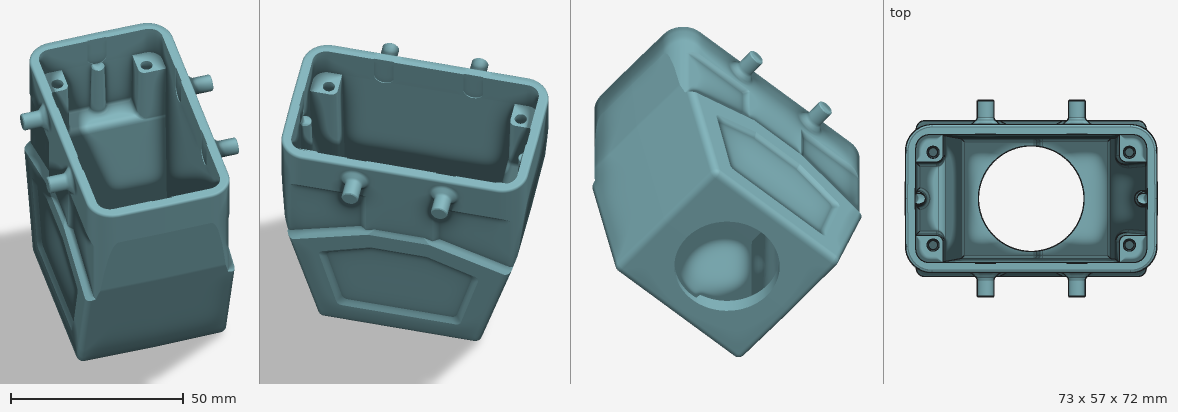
import cadquery as cq
import math

height = 72.0
length = 73.0
collar_width = 42.85
body_width = 45.1
collar_radius = 7.6
rim_round = 0.7
mould_draft = 0.5

half_length = length / 2
end_break_z = 60.7
knee_half, knee_z = 34.6, 39.9
base_half = 23.95
knee_round = 5.1
body_round = 2.05

shelf_flat_half, shelf_top_z = 9.4, 44.3
web_half = 9.85
shelf_angle = 19.8
shelf_slope = math.tan(math.radians(shelf_angle))
shelf_bevel = 1.5

recess_depth = 1.1
recess_bevel = 1.75
recess_top_z = 59.2
recess_y = collar_width / 2 - recess_depth
recess_corner_round = 1.1
recess_edge_round = 2.2

panel_depth = 1.1
panel_bevel = 1.8
panel_round = 3.65
panel_top_half, panel_top_z = 8.4, 37.1
panel_side_half, panel_side_z = 23.9, 31.0
panel_base_half, panel_base_z = 18.1, 7.8

peg_x, peg_z = 13.2, 65.8
peg_span = 57.0
peg_cone_top_radius, peg_cone_base_radius = 2.8, 3.8
peg_cone_angle = 45.0
peg_root_round = 1.1
peg_chamfer = 0.3
peg_embed = 0.7

cavity_length, cavity_width, cavity_radius = 66.9, 37.1, 4.0
cavity_draft = 1.2
draft_start_z = 62.3
low_floor_z, high_floor_z = 2.55, 5.5
floor_step_x, floor_step_run = 2.05, 1.45
floor_left_x, floor_right_x = -20.15, 22.8
ledge_z = 44.5
ledge_edge_x = -25.0
ledge_edge_round = 2.1
ledge_round = 0.9
floor_round = 0.9
cable_hole_radius = 15.25

post_inner_x, post_inner_y = 25.55, 10.65
post_corner_round = 1.8
post_draft = 1.4
screw_x, screw_y = 28.4, 13.4
screw_mouth_radius, screw_end_radius, screw_depth = 1.75, 1.3, 18.25

rib_x = 32.55
rib_top_radius, rib_draft = 1.9, 1.5
rib_tip_chamfer = 0.5

relief_half_width, relief_depth, relief_bottom_z = 2.9, 0.2, 61.7

margin = 7.3


def mirrored(points):
    """Close a half outline by its mirror image about X = 0."""
    return points + [(-x, z) for x, z in reversed(points)]


def both_sides(shape):
    """The shape together with its mirror image about Y = 0."""
    return shape.union(shape.mirror("XZ"))


def facing_plane(y):
    """Plane parallel to XZ at -y whose extrusions run toward -Y."""
    return cq.Workplane("XZ", origin=(0, -y, 0))


def drafted_half(depth):
    """End outline extruded from Y = 0 toward -Y with mould draft and rounded knees."""
    outline = mirrored([
        (half_length, height + margin),
        (half_length, end_break_z),
        (knee_half, knee_z),
        (base_half, 0),
    ])
    half = facing_plane(0).polyline(outline).close().extrude(depth, taper=mould_draft)
    for side_x in (-1, 1):
        knee_edge = cq.selectors.NearestToPointSelector((side_x * knee_half, -depth / 2, knee_z))
        half = half.edges(knee_edge).fillet(knee_round)
    return half


def shelf_z(x):
    """Level of the sloping shelf edge at distance x from the middle."""
    return shelf_top_z - shelf_slope * (x - shelf_flat_half)


def bevelled_prism(outline, bevel_start_y):
    """Outline extruded both ways, its edges bevelled from the given Y out to the body faces."""
    core = facing_plane(0).polyline(outline).close().extrude(bevel_start_y, both=True)
    depth = body_width / 2 - bevel_start_y
    bevel_angle = math.degrees(math.atan(shelf_bevel / depth))
    cap = facing_plane(bevel_start_y).polyline(outline).close().extrude(depth, taper=bevel_angle)
    return core.union(both_sides(cap))


def make_shelf():
    """Space below the stepped edge: two slopes that start at the recess floors, one level below the web."""
    reach = half_length + margin
    roof_outline = [
        (-reach, -margin),
        (-reach, shelf_z(reach)),
        (0, shelf_z(0)),
        (reach, shelf_z(reach)),
        (reach, -margin),
    ]
    level_outline = mirrored([
        (reach, shelf_top_z),
        (reach, -margin),
    ])
    slopes = bevelled_prism(roof_outline, recess_y)
    level = bevelled_prism(level_outline, collar_width / 2)
    return slopes.intersect(level)


def make_lower_body():
    half = drafted_half(body_width / 2)
    face_edges = half.faces("<Y").edges("not(>Z)")
    base_ends = half.faces("<Z").edges("not(|X)")
    half = half.newObject(face_edges.vals() + base_ends.vals()).fillet(body_round)
    block = both_sides(half)
    return block.intersect(make_shelf())


def make_recesses():
    """Bevelled pockets for the four collar corners."""
    bottom_z = knee_z - 2 * margin
    reach = half_length + margin
    bevel_angle = math.degrees(math.atan(recess_bevel / recess_depth))
    top_corner = cq.selectors.NearestToPointSelector(
        (web_half + recess_bevel / 2, -recess_y - recess_depth / 2, recess_top_z - recess_bevel / 2))
    pocket = (
        cq.Workplane("XZ", origin=(0, -collar_width / 2, 0))
        .center((web_half + reach) / 2, (bottom_z + recess_top_z) / 2)
        .rect(reach - web_half, recess_top_z - bottom_z)
        .extrude(-recess_depth, taper=bevel_angle)
        .edges(top_corner).fillet(recess_corner_round)
    )
    pair = pocket.union(pocket.mirror("YZ"))
    return both_sides(pair)


def make_collar():
    bottom_z = shelf_z(half_length) - margin / 2
    corner_x = half_length - collar_width / 2 * math.tan(math.radians(mould_draft))
    plan = [
        (half_length, 0),
        (corner_x, collar_width / 2),
        (-corner_x, collar_width / 2),
        (-half_length, 0),
        (-corner_x, -collar_width / 2),
        (corner_x, -collar_width / 2),
    ]
    collar = (
        cq.Workplane("XY", origin=(0, 0, bottom_z))
        .polyline(plan).close()
        .extrude(height - bottom_z)
        .edges("|Z").edges("<Y or >Y").fillet(collar_radius)
        .faces(">Z").edges().fillet(rim_round)
    )
    collar = collar.cut(make_recesses())
    corner_centre_x = half_length - collar_radius
    corner_centre_y = collar_width / 2 - collar_radius
    recess_end_x = corner_centre_x + math.sqrt(collar_radius**2 - (recess_y - corner_centre_y)**2)
    for side_x in (-1, 1):
        for side_y in (-1, 1):
            edge_point = (side_x * recess_end_x, side_y * recess_y, knee_z)
            end_edge = cq.selectors.NearestToPointSelector(edge_point)
            collar = collar.edges("|Z").edges(end_edge).fillet(recess_edge_round)
    return collar.intersect(both_sides(drafted_half(body_width)))


def make_panels():
    outline = mirrored([
        (panel_top_half, panel_top_z),
        (panel_side_half, panel_side_z),
        (panel_base_half, panel_base_z),
    ])
    bevel_angle = math.degrees(math.atan(panel_bevel / panel_depth))
    panel = facing_plane(body_width / 2).polyline(outline).close()
    panel = panel.extrude(-panel_depth, taper=bevel_angle)
    corners = panel.edges("not(#Y)").edges(cq.selectors.BoxSelector(
        (-length, -length, 0), (length, length, panel_side_z)))
    return both_sides(corners.fillet(panel_round))


def make_pegs():
    face = collar_width / 2
    root = face - peg_embed
    tip = peg_span / 2

    def root_arc_offset(angle):
        """Radial and axial offset along a root round, from its level end."""
        turn = math.radians(angle)
        return peg_root_round * math.sin(turn), peg_root_round * (1 - math.cos(turn))

    half_turn_x, half_turn_y = root_arc_offset(peg_cone_angle / 2)
    full_turn_x, full_turn_y = root_arc_offset(peg_cone_angle)
    foot_radius = peg_cone_base_radius + full_turn_x
    cone_base_y = -face - full_turn_y
    cone_length = (peg_cone_base_radius - peg_cone_top_radius) / math.tan(math.radians(peg_cone_angle))
    cone_top_y = cone_base_y - cone_length
    shank_y = cone_top_y - full_turn_x
    shank_radius = peg_cone_top_radius - full_turn_y
    profile = (
        cq.Workplane("XY")
        .moveTo(0, -root)
        .lineTo(foot_radius, -root)
        .lineTo(foot_radius, -face)
        .threePointArc(
            (foot_radius - half_turn_x, -face - half_turn_y), (peg_cone_base_radius, cone_base_y))
        .lineTo(peg_cone_top_radius, cone_top_y)
        .threePointArc((shank_radius + half_turn_y, shank_y + half_turn_x), (shank_radius, shank_y))
        .lineTo(shank_radius, -tip + peg_chamfer)
        .lineTo(shank_radius - peg_chamfer, -tip)
        .lineTo(0, -tip)
        .close()
    )
    peg = profile.revolve(360, (0, 0, 0), (0, 1, 0)).translate((0, 0, peg_z))
    pair = peg.translate((peg_x, 0, 0)).union(peg.translate((-peg_x, 0, 0)))
    return both_sides(pair)


def make_posts():
    """Corner posts, widening downward; their outer sides lie buried in the walls."""
    size_x = half_length - post_inner_x
    size_y = collar_width / 2 - post_inner_y
    post = (
        cq.Workplane("XY", origin=(post_inner_x + size_x / 2, post_inner_y + size_y / 2, draft_start_z))
        .sketch().rect(size_x, size_y).vertices().fillet(post_corner_round).finalize()
        .extrude(-draft_start_z, taper=-post_draft)
    )
    pair = post.union(post.mirror("YZ"))
    return both_sides(pair)


def make_ribs():
    foot_radius = rib_top_radius + draft_start_z * math.tan(math.radians(rib_draft))
    profile = [
        (0, 0),
        (foot_radius, 0),
        (rib_top_radius, draft_start_z - rib_tip_chamfer),
        (rib_top_radius - rib_tip_chamfer, draft_start_z),
        (0, draft_start_z),
    ]
    rib = cq.Workplane("XZ").polyline(profile).close().revolve(360, (0, 0, 0), (0, 1, 0))
    return rib.translate((rib_x, 0, 0)).union(rib.translate((-rib_x, 0, 0)))


def make_cavity():
    mouth = (
        cq.Workplane("XY", origin=(0, 0, draft_start_z))
        .rect(cavity_length, cavity_width)
        .extrude(height + margin - draft_start_z)
        .edges("|Z").fillet(cavity_radius)
    )
    well = (
        cq.Workplane("XY", origin=(0, 0, draft_start_z))
        .sketch().rect(cavity_length, cavity_width).vertices().fillet(cavity_radius).finalize()
        .extrude(-draft_start_z, taper=cavity_draft)
    )
    profile = [
        (floor_left_x, low_floor_z),
        (floor_step_x - floor_step_run / 2, low_floor_z),
        (floor_step_x + floor_step_run / 2, high_floor_z),
        (floor_right_x, high_floor_z),
        (cavity_length / 2, ledge_z),
        (cavity_length / 2, draft_start_z),
        (-cavity_length / 2, draft_start_z),
        (-cavity_length / 2, ledge_z),
        (ledge_edge_x, ledge_z),
    ]
    lengthwise = cq.Workplane("XZ").polyline(profile).close().extrude(cavity_width, both=True)
    ledge_corner = cq.selectors.NearestToPointSelector((ledge_edge_x, 0, ledge_z))
    lengthwise = lengthwise.edges("|Y").edges(ledge_corner).fillet(ledge_edge_round)
    well = well.intersect(lengthwise)

    floor_edges = cq.selectors.BoxSelector(
        (-length, -length, 0), (length, length, high_floor_z + floor_round))
    well = well.edges(floor_edges).fillet(floor_round)
    well = well.cut(make_posts()).cut(make_ribs())
    ledge_point = (ledge_edge_x - 2 * ledge_edge_round, 2 * rib_top_radius, ledge_z)
    ledge = cq.selectors.NearestToPointSelector(ledge_point)
    well = well.faces(ledge).edges("not(>X)").fillet(ledge_round)
    right_wall = cq.selectors.NearestToPointSelector(
        ((floor_right_x + cavity_length / 2) / 2, 0, (high_floor_z + ledge_z) / 2))
    post_feet = cq.selectors.BoxSelector(
        (floor_right_x + ledge_round, -cavity_width, 0), (rib_x - rib_top_radius, cavity_width, ledge_z))
    foot_edges = well.faces(right_wall).edges(post_feet).edges("not(<Y or >Y)")
    well = foot_edges.fillet(ledge_round)
    return mouth.union(well)


def make_reliefs():
    """Round-bottomed reliefs behind the pegs and above the guide ribs."""
    width = 2 * relief_half_width
    arc_z = relief_bottom_z + relief_half_width

    def slab(plane, half_span):
        straight = cq.Workplane(plane).center(0, (arc_z + height) / 2).rect(width, height - arc_z)
        straight = straight.extrude(half_span, both=True)
        rounded = cq.Workplane(plane).center(0, arc_z).circle(relief_half_width)
        return straight.union(rounded.extrude(half_span, both=True))

    across = slab("XZ", cavity_width / 2 + relief_depth)
    along = slab("YZ", cavity_length / 2 + relief_depth)
    return along, across.translate((peg_x, 0, 0)), across.translate((-peg_x, 0, 0))


def make_screw_holes():
    profile = [
        (0, 0),
        (screw_mouth_radius, 0),
        (screw_end_radius, -screw_depth),
        (0, -screw_depth),
    ]
    hole = cq.Workplane("XZ").polyline(profile).close().revolve(360, (0, 0, 0), (0, 1, 0))
    return [
        hole.translate((side_x * screw_x, side_y * screw_y, draft_start_z))
        for side_x in (-1, 1)
        for side_y in (-1, 1)
    ]


shell = make_lower_body().union(make_collar())
shell = shell.cut(make_panels()).union(make_pegs())
shell = shell.cut(make_cavity())
for relief in make_reliefs():
    shell = shell.cut(relief)
for hole in make_screw_holes():
    shell = shell.cut(hole)
cable_hole = cq.Workplane("XY").circle(cable_hole_radius).extrude(high_floor_z + floor_round)
shell = shell.cut(cable_hole)

result = shell